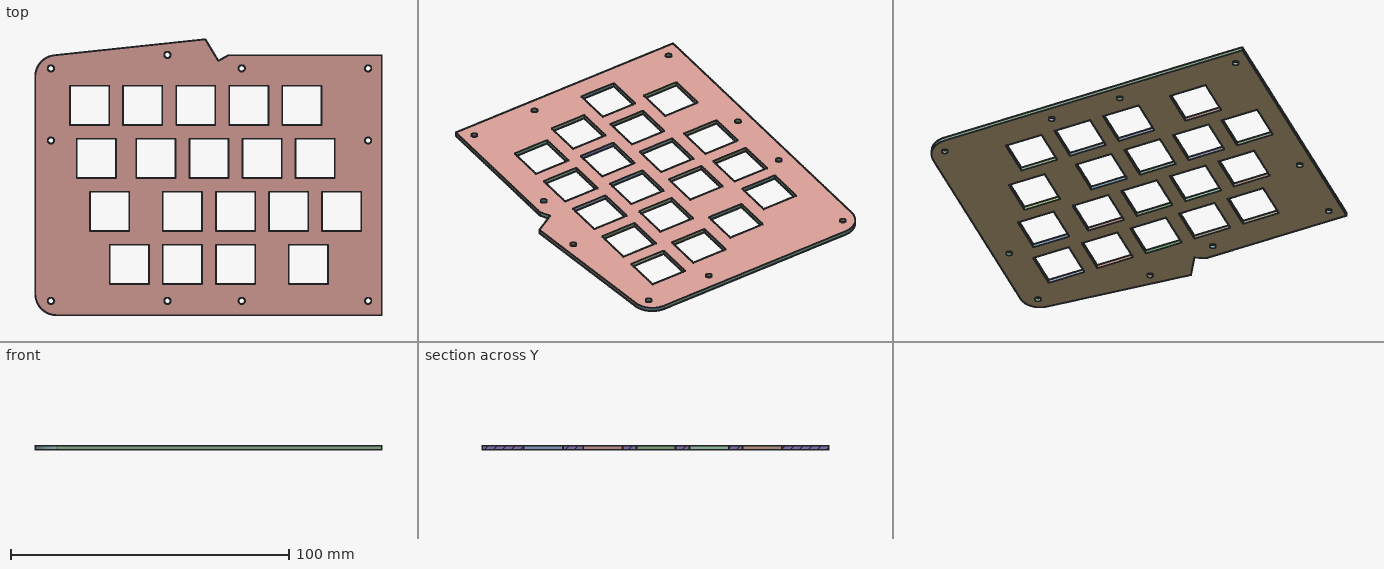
import cadquery as cq
import math

plate_length = 124.54
plate_width = 99.19
plate_thickness = 1.6
left = -plate_length / 2
right = plate_length / 2
bottom = -plate_width / 2
peak_y = plate_width / 2

corner_radius = 7.75
top_edge_y = 43.85
peak_x = -1.15
slope_angle = math.radians(6.04)
slope_left_y = peak_y - (peak_x - left) * math.tan(slope_angle)
notch_point = (3.55, 41.85)
notch_right_x = 7.1

key_unit = 19.05
switch_size = 14.0
first_key_x = -42.68
first_key_y = 25.85
key_rows = [
    [0, 1, 2, 3, 4],
    [0.125, 1.25, 2.25, 3.25, 4.25],
    [0.375, 1.75, 2.75, 3.75, 4.75],
    [0.75, 1.75, 2.75, 4.125],
]

screw_diameter = 2.2
screw_column_1 = -56.6
screw_column_2 = -14.75
screw_column_3 = 11.95
screw_column_4 = 57.35
screw_bottom_y = -44.4
screw_middle_y = 13.2
screw_top_y = 39.1
screw_slope_y = 43.95
screw_points = [
    (screw_column_1, screw_bottom_y),
    (screw_column_1, screw_middle_y),
    (screw_column_1, screw_top_y),
    (screw_column_2, screw_bottom_y),
    (screw_column_2, screw_slope_y),
    (screw_column_3, screw_bottom_y),
    (screw_column_3, screw_top_y),
    (screw_column_4, screw_bottom_y),
    (screw_column_4, screw_middle_y),
    (screw_column_4, screw_top_y),
]


def make_plate():
    """Flat plate with a sloped, notched top edge and two rounded left corners."""
    outline = [
        (left, bottom),
        (right, bottom),
        (right, top_edge_y),
        (notch_right_x, top_edge_y),
        notch_point,
        (peak_x, peak_y),
        (left, slope_left_y),
    ]
    plate = cq.Workplane("XY").polyline(outline).close().extrude(plate_thickness)
    return plate.edges("|Z").edges("<X").fillet(corner_radius)


def make_switch_openings():
    """Square prisms, one for every key."""
    centers = []
    for row, keys in enumerate(key_rows):
        for key in keys:
            centers.append((first_key_x + key * key_unit, first_key_y - row * key_unit))
    sketch = cq.Workplane("XY").pushPoints(centers).rect(switch_size, switch_size)
    return sketch.extrude(plate_thickness)


def make_screw_holes():
    """Cylinders for the screw holes along the rim."""
    sketch = cq.Workplane("XY").pushPoints(screw_points).circle(screw_diameter / 2)
    return sketch.extrude(plate_thickness)


result = make_plate().cut(make_switch_openings()).cut(make_screw_holes())